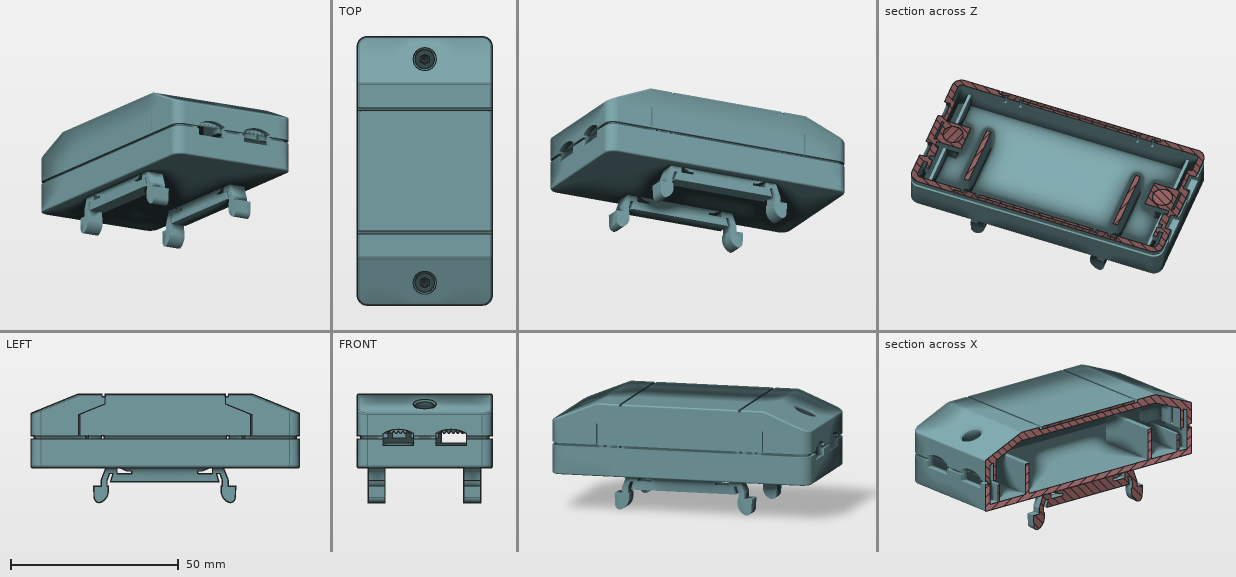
import cadquery as cq
import math

LENGTH = 80.0
WIDTH = 40.2
HEIGHT = 22.0
CORNER_RADIUS = 3.0
EDGE_RADIUS = 0.495
WALL = 2.0
STEP = WALL / 2
BASE_HEIGHT = 8.6
SEAM_TOP = 9.5
HALF_LENGTH = LENGTH / 2
HALF_WIDTH = WIDTH / 2
CORE_HALF_WIDTH = HALF_WIDTH - STEP
CAVITY_HALF_WIDTH = HALF_WIDTH - WALL

END_HEIGHT = 16.2
CREASE_Y = 25.9
CREASE_BEVEL = 0.2
SLOPE = (HEIGHT - END_HEIGHT) / (HALF_LENGTH - CREASE_Y)

LID_THICKNESS = 0.8
LID_TOP_Y = 17.9
GROOVE_WIDTH = 0.9
LID_SIDE_Y = 25.4
LID_SIDE_GAP = 0.3
LID_SHOULDER_Z = 19.0
LID_SIDE_Z = LID_SHOULDER_Z - SLOPE * (LID_SIDE_Y - LID_TOP_Y)

TAB_WIDTH = 3.9
TAB_Y = 20.95
TAB_TOP = 12.8
NOTCH_WIDTH = 5.5

OPENING_X = 7.8
OPENING_WIDTH = 9.0
OPENING_BOTTOM = 6.7
OPENING_SIDE_TOP = 10.15
OPENING_TOP = 11.5

CLAMP_THICKNESS = 1.2
TOOTH_TIP = 10.2
TOOTH_DEPTH = 0.8
TOOTH_PITCH = 1.35
TOOTH_GROOVE = 1.0
TEETH_PER_CLAMP = 6
CLAMP_TOP = 12.0

FINGER_BOTTOM = 8.95
FINGERS = [(-14.4, -10.9), (-9.6, -5.6)]
DAM_LEFT = -14.4
DAM_RIGHT = 4.95
DAM_Y = 22.9
DAM_THICKNESS = 1.6
DAM_TOP = 11.6

SCREW_Y = 33.3
HEAD_DIAMETER = 5.75
MOUTH_CHAMFER = 0.55
HEAD_SEAT = 10.4
HEAD_HEIGHT = 2.4
SHANK_DIAMETER = 2.4
SHANK_END = 3.2
SOCKET_FLATS = 2.7
SOCKET_DEPTH = 0.95
SOCKET_CONE_DIAMETER = 2.1
SOCKET_CONE_DEPTH = 0.6
SOCKET_TIP_DIAMETER = 0.7
COVER_BOSS = 8.3
BASE_BOSS = 3.5

RIB_TOP = 7.4
RIB_THICKNESS = 0.8
RIB_Y = SCREW_Y + BASE_BOSS / 2

CLIP_X = 14.2
CLIP_OFFSET = (-0.1, 0.15)
CLIP_WIDTH = 5.1
BRIDGE_BOTTOM = -4.15
BRIDGE_Y = 16.15
ARM_TOP_Y = 17.5
ARM_OUTER_Y = 18.95
ARM_INNER_Y = 17.1
ARM_BEND_Z = -3.7
SLOT_TOP = -1.7
SLOT_INNER_Y = 15.4
SLOT_OUTER_Y = 16.4
SLOT_BEND_Y = 15.9
SLOT_BEND_Z = -3.35
FOOT_TOP = -5.4
FOOT_BOTTOM = -10.4
FOOT_OUTER_Y = 21.2
FOOT_ROUND_Y = 21.0
FOOT_ROUND_Z = -8.8
FOOT_TIP_Y = 19.5
FOOT_INNER_Y = 16.8
FOOT_INNER_Z = -7.35
FOOT_BULGE = (17.7, -9.3)
WINDOW_OUTER_Y = 14.15
WINDOW_INNER_Y = 9.8
TONGUE_TIP_Z = -0.95
TONGUE_FLAT_Y = 11.2
TONGUE_ROOT_Y = 13.3


def box(x_range, y_range, z_range):
    """Box between two limits along each axis."""
    sizes = [high - low for low, high in (x_range, y_range, z_range)]
    lows = [low for low, high in (x_range, y_range, z_range)]
    return cq.Workplane("XY").box(*sizes, centered=False).translate(tuple(lows))


def both_ends(solid):
    """The solid at the -Y end joined with its mirror image at the +Y end."""
    return solid.union(solid.mirror("XZ"))


def rounded_block(inset, bottom, top):
    """Block with the enclosure's outline, moved inwards by the inset."""
    return (
        cq.Workplane("XY", origin=(0, 0, bottom))
        .rect(WIDTH - 2 * inset, LENGTH - 2 * inset)
        .extrude(top - bottom)
        .edges("|Z")
        .fillet(CORNER_RADIUS - inset)
    )


def along_width(points):
    """Symmetric outline in YZ, given by its +Y half from bottom to top, extruded along X."""
    mirrored = [(-y, z) for y, z in reversed(points)]
    outline = cq.Workplane("YZ").polyline(points + mirrored).close()
    return outline.extrude(HALF_WIDTH, both=True)


def on_end_face(x, z):
    """Sketch plane on the -Y end face, with its origin at the given place."""
    return cq.Workplane("XZ", origin=(x, -HALF_LENGTH, z))



def upper_hull():
    """Outer form of the cover and lid together, with rounded top edges."""
    envelope = along_width(
        [
            (HALF_LENGTH, SEAM_TOP),
            (HALF_LENGTH, END_HEIGHT),
            (CREASE_Y + CREASE_BEVEL, HEIGHT - CREASE_BEVEL * SLOPE),
            (CREASE_Y - CREASE_BEVEL, HEIGHT),
        ]
    )
    hull = rounded_block(0, SEAM_TOP, HEIGHT).intersect(envelope)
    return hull.edges("not (|Z or <Z or (|X exc (<Y or >Y)))").fillet(EDGE_RADIUS)


def saddle(top_y, side_y):
    """Region of the lid: a top plate and two side plates, wrapped over the cover's core."""
    sides = along_width(
        [
            (side_y, SEAM_TOP),
            (side_y, LID_SIDE_Z - SLOPE * (side_y - LID_SIDE_Y)),
            (LID_TOP_Y, LID_SHOULDER_Z),
            (LID_TOP_Y, HEIGHT),
        ]
    )
    top = box((-HALF_WIDTH, HALF_WIDTH), (-top_y, top_y), (HEIGHT - LID_THICKNESS, HEIGHT))
    core = box(
        (-CORE_HALF_WIDTH, CORE_HALF_WIDTH),
        (-HALF_LENGTH, HALF_LENGTH),
        (0, HEIGHT - LID_THICKNESS),
    )
    return sides.union(top).cut(core)


def tab_blocks(width):
    """Four blocks inside the lid sides, for the snap tabs or their notches."""
    blocks = cq.Workplane("XY")
    left_wall = (-CORE_HALF_WIDTH, -CAVITY_HALF_WIDTH)
    right_wall = (CAVITY_HALF_WIDTH, CORE_HALF_WIDTH)
    for x_range in (left_wall, right_wall):
        for y in (-TAB_Y, TAB_Y):
            block = box(x_range, (y - width / 2, y + width / 2), (BASE_HEIGHT, TAB_TOP))
            blocks = blocks.add(block)
    return blocks.combine()


def cable_openings():
    """Arched openings through both end walls."""
    half = OPENING_WIDTH / 2
    openings = cq.Workplane("XY")
    for x in (-OPENING_X, OPENING_X):
        opening = (
            on_end_face(x, 0)
            .moveTo(-half, OPENING_BOTTOM)
            .lineTo(half, OPENING_BOTTOM)
            .lineTo(half, OPENING_SIDE_TOP)
            .threePointArc((0, OPENING_TOP), (-half, OPENING_SIDE_TOP))
            .close()
            .extrude(-WALL)
        )
        openings = openings.add(opening)
    return both_ends(openings.combine())


def screw_shape(head_top):
    """Plain screw at the -Y end, with its head reaching up to the given height."""
    shank = cq.Workplane("XY", origin=(0, -SCREW_Y, SHANK_END)).circle(SHANK_DIAMETER / 2)
    head = cq.Workplane("XY", origin=(0, -SCREW_Y, HEAD_SEAT)).circle(HEAD_DIAMETER / 2)
    return shank.extrude(HEAD_SEAT - SHANK_END).union(head.extrude(head_top - HEAD_SEAT))



def make_base():
    """Lower tray with cable openings, screw bosses, dams and cross ribs."""
    base = rounded_block(0, 0, BASE_HEIGHT).faces("<Z").edges().fillet(EDGE_RADIUS)
    base = base.cut(rounded_block(WALL, WALL, BASE_HEIGHT)).cut(cable_openings())
    half = BASE_BOSS / 2
    fittings = [
        box((-half, half), (-SCREW_Y - half, -SCREW_Y + half), (WALL, FINGER_BOTTOM)),
        box((DAM_LEFT, DAM_RIGHT), (-DAM_Y - DAM_THICKNESS, -DAM_Y), (WALL, DAM_TOP)),
        box((-CAVITY_HALF_WIDTH, CAVITY_HALF_WIDTH), (-RIB_Y, -RIB_Y + RIB_THICKNESS), (WALL, RIB_TOP)),
    ]
    for fitting in fittings:
        base = base.union(both_ends(fitting))
    return base.cut(both_ends(screw_shape(HEIGHT)))


def cover_cavity():
    """Space inside the cover, with a ceiling parallel to the top and the slopes."""
    ceiling = HEIGHT - LID_THICKNESS - WALL
    envelope = along_width(
        [
            (HALF_LENGTH, BASE_HEIGHT),
            (HALF_LENGTH, END_HEIGHT - LID_THICKNESS - WALL),
            (CREASE_Y, ceiling),
        ]
    )
    return rounded_block(WALL, BASE_HEIGHT, HEIGHT).intersect(envelope)


def toothed_clamp(x):
    """Bar over a cable opening at the -Y end, with V-grooves along its lower edge."""
    front = -HALF_LENGTH + WALL
    half = OPENING_WIDTH / 2
    clamp = box((x - half, x + half), (front, front + CLAMP_THICKNESS), (TOOTH_TIP, CLAMP_TOP))
    for index in range(TEETH_PER_CLAMP + 1):
        root_x = x + (index - TEETH_PER_CLAMP / 2) * TOOTH_PITCH
        groove = (
            on_end_face(root_x, TOOTH_TIP)
            .polyline([(-TOOTH_GROOVE / 2, 0), (TOOTH_GROOVE / 2, 0), (0, TOOTH_DEPTH)])
            .close()
            .extrude(-WALL - CLAMP_THICKNESS)
        )
        clamp = clamp.cut(groove)
    return clamp


def screw_holes_cut(shell):
    """The shell with both screw holes cut, their mouths in the slopes chamfered."""
    shell = shell.cut(both_ends(screw_shape(HEIGHT)))
    for y in (-SCREW_Y, SCREW_Y):
        mouth = cq.selectors.BoxSelector(
            (-HEAD_DIAMETER, y - HEAD_DIAMETER, END_HEIGHT),
            (HEAD_DIAMETER, y + HEAD_DIAMETER, HEIGHT - LID_THICKNESS),
        )
        shell = shell.edges("not #Z").edges(mouth).chamfer(MOUTH_CHAMFER)
    return shell


def make_cover(hull):
    """Upper shell with the lid's recess, a seam lip, screw bosses, fingers and toothed clamps."""
    lip = rounded_block(STEP, BASE_HEIGHT, SEAM_TOP)
    recess = saddle(LID_TOP_Y + GROOVE_WIDTH, LID_SIDE_Y + LID_SIDE_GAP)
    shell = hull.cut(recess).union(lip).cut(cover_cavity())
    shell = shell.cut(cable_openings()).cut(tab_blocks(NOTCH_WIDTH))
    half = COVER_BOSS / 2
    fittings = box((-half, half), (-SCREW_Y - half, -SCREW_Y + half), (FINGER_BOTTOM, HEIGHT))
    front = -HALF_LENGTH + WALL + CLAMP_THICKNESS
    for x_range in FINGERS:
        fittings = fittings.union(
            box(x_range, (front, front + CLAMP_THICKNESS), (FINGER_BOTTOM, HEIGHT))
        )
    for x in (-OPENING_X, OPENING_X):
        fittings = fittings.union(toothed_clamp(x))
    fittings = both_ends(fittings).intersect(cover_cavity())
    return screw_holes_cut(shell.union(fittings))


def make_lid(hull):
    """Saddle over the cover's core, with four snap tabs inside its sides."""
    return hull.intersect(saddle(LID_TOP_Y, LID_SIDE_Y)).union(tab_blocks(TAB_WIDTH))


def make_screw():
    """Screw at the -Y end, with a hexagonal socket that ends in a cone."""
    head_top = HEAD_SEAT + HEAD_HEIGHT
    socket = (
        cq.Workplane("XY", origin=(0, -SCREW_Y, head_top))
        .transformed(rotate=(0, 0, 30))
        .polygon(6, SOCKET_FLATS / math.cos(math.pi / 6))
        .extrude(-SOCKET_DEPTH)
    )
    cone = (
        cq.Workplane("XY", origin=(0, -SCREW_Y, head_top - SOCKET_DEPTH))
        .circle(SOCKET_CONE_DIAMETER / 2)
        .workplane(offset=-SOCKET_CONE_DEPTH)
        .circle(SOCKET_TIP_DIAMETER / 2)
        .loft(ruled=True)
    )
    return screw_shape(head_top).cut(socket).cut(cone)


def clip_half():
    """Half of a rail clip on the +Y side: bridge, springy arm and rounded foot."""
    outline = (
        cq.Workplane("YZ")
        .moveTo(0, 0)
        .lineTo(ARM_TOP_Y, 0)
        .lineTo(ARM_OUTER_Y, ARM_BEND_Z)
        .lineTo(ARM_OUTER_Y, FOOT_TOP)
        .lineTo(FOOT_OUTER_Y, FOOT_TOP)
        .lineTo(FOOT_ROUND_Y, FOOT_ROUND_Z)
        .tangentArcPoint((FOOT_TIP_Y, FOOT_BOTTOM), relative=False)
        .threePointArc(FOOT_BULGE, (FOOT_INNER_Y, FOOT_INNER_Z))
        .lineTo(FOOT_INNER_Y, FOOT_TOP)
        .lineTo(ARM_INNER_Y, FOOT_TOP)
        .lineTo(ARM_INNER_Y, ARM_BEND_Z)
        .lineTo(SLOT_OUTER_Y, SLOT_TOP)
        .lineTo(SLOT_INNER_Y, SLOT_TOP)
        .lineTo(SLOT_BEND_Y, SLOT_BEND_Z)
        .lineTo(BRIDGE_Y, BRIDGE_BOTTOM)
        .lineTo(0, BRIDGE_BOTTOM)
        .close()
        .extrude(CLIP_WIDTH / 2, both=True)
    )
    window = (
        cq.Workplane("YZ")
        .moveTo(WINDOW_OUTER_Y, 0)
        .lineTo(WINDOW_OUTER_Y, SLOT_TOP)
        .lineTo(WINDOW_INNER_Y, SLOT_TOP)
        .lineTo(WINDOW_INNER_Y, TONGUE_TIP_Z)
        .lineTo(TONGUE_FLAT_Y, TONGUE_TIP_Z)
        .lineTo(TONGUE_ROOT_Y, 0)
        .close()
        .extrude(CLIP_WIDTH / 2, both=True)
    )
    return outline.cut(window)


def make_clip(x):
    return both_ends(clip_half()).translate((x + CLIP_OFFSET[0], CLIP_OFFSET[1], 0))


upper = upper_hull()
base = make_base()
cover = make_cover(upper)
lid = make_lid(upper)
front_screw = make_screw()
screws = [front_screw, front_screw.rotate((0, 0, 0), (0, 0, 1), 180)]
clips = [make_clip(x) for x in (-CLIP_X, CLIP_X)]

bodies = [base, cover, lid, *screws, *clips]
result = cq.Compound.makeCompound([body.val() for body in bodies])